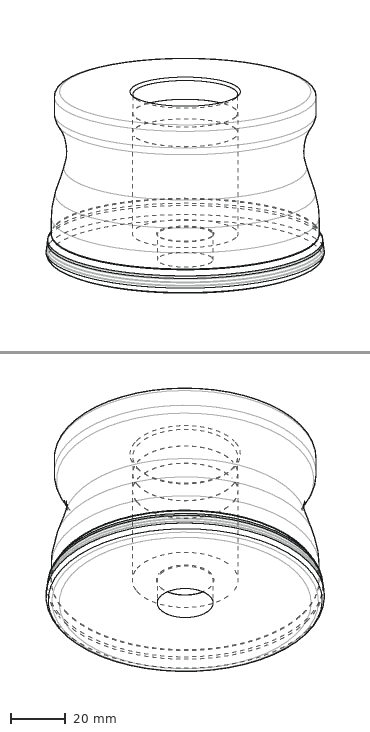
import cadquery as cq
import math

base_radius = 50.8
total_height = 63.5
base_height = 9.9

collar_radius = 47.8
collar_edge_fillet = 1.9
collar_blend_radius = 5.0
waist_radius = 43.3
waist_height = 40.9
waist_curve_radius = 20.3
flank_angle = math.radians(18)
skirt_radius = 48.9
skirt_top = 16.0

bore_radius = 19.1
bore_chamfer = 1.0
bore_step_depth = 0.1
bore_step_heights = [55.4, 48.0]

hole_radius = 10.2
hole_chamfer = 0.3
land_height = 0.3
flare_bottom_z = 7.6
flare_bottom_radius = 50.2
cove_bottoms = [6.7, 5.4, 4.2, 3.1]
rim_corner_radius = 2.5
rim_corner_angle = math.radians(49)
foot_bevel_radius = 48.6
foot_bevel_z = 0.6
foot_radius = 45.9


def revolve(profile):
    """Turn a closed profile in the XZ plane into a solid about the Z axis."""
    return profile.close().revolve(360, (0, 0, 0), (0, 1, 0))


def arc_point(center, radius, angle):
    """Point on a circle, with the angle measured up from the outward radial direction."""
    return (center[0] + radius * math.cos(angle), center[1] + radius * math.sin(angle))


def make_housing():
    """Turned upper body with its collar, waist, flared flank and stepped bore."""
    waist_center = (waist_radius + waist_curve_radius, waist_height)
    blend_center_radius = collar_radius - collar_blend_radius
    center_distance = waist_curve_radius + collar_blend_radius
    center_offset = waist_center[0] - blend_center_radius
    collar_bottom = waist_height + math.sqrt(center_distance**2 - center_offset**2)
    blend_center = (blend_center_radius, collar_bottom)
    waist_end = arc_point(waist_center, waist_curve_radius, math.pi + flank_angle)
    waist_mid = (waist_radius, waist_height)
    blend_angle = math.atan2(blend_center[1] - waist_center[1], blend_center[0] - waist_center[0])
    waist_start = arc_point(waist_center, waist_curve_radius, blend_angle)
    blend_mid = arc_point(blend_center, collar_blend_radius, (blend_angle - math.pi) / 2)

    corner_height = waist_end[1] - (skirt_radius - waist_end[0]) / math.tan(flank_angle)
    tangent_length = corner_height - skirt_top
    skirt_curve_radius = tangent_length / math.tan(flank_angle / 2)
    skirt_center = (skirt_radius - skirt_curve_radius, skirt_top)
    flank_end = arc_point(skirt_center, skirt_curve_radius, flank_angle)
    skirt_mid = arc_point(skirt_center, skirt_curve_radius, flank_angle / 2)

    fillet_center = (collar_radius - collar_edge_fillet, total_height - collar_edge_fillet)
    profile = (
        cq.Workplane("XZ")
        .moveTo(bore_radius + bore_chamfer, total_height)
        .lineTo(fillet_center[0], total_height)
        .threePointArc(
            arc_point(fillet_center, collar_edge_fillet, math.pi / 4),
            (collar_radius, fillet_center[1]),
        )
        .lineTo(collar_radius, collar_bottom)
        .threePointArc(blend_mid, waist_start)
        .threePointArc(waist_mid, waist_end)
        .lineTo(*flank_end)
        .threePointArc(skirt_mid, (skirt_radius, skirt_top))
        .lineTo(skirt_radius, base_height)
    )
    step_radius = bore_radius + len(bore_step_heights) * bore_step_depth
    step_bottom = base_height
    for step_top in reversed(bore_step_heights):
        profile = profile.lineTo(step_radius, step_bottom).lineTo(step_radius, step_top)
        step_radius -= bore_step_depth
        step_bottom = step_top
    profile = profile.lineTo(bore_radius, step_bottom).lineTo(bore_radius, total_height - bore_chamfer)
    return revolve(profile)


def make_base():
    """Bottom disc whose rim flares out in coves and rounds under to the foot."""
    corner_center = (base_radius - rim_corner_radius, cove_bottoms[-1])
    corner_mid = arc_point(corner_center, rim_corner_radius, -rim_corner_angle / 2)
    corner_end = arc_point(corner_center, rim_corner_radius, -rim_corner_angle)

    profile = (
        cq.Workplane("XZ")
        .moveTo(hole_radius + hole_chamfer, base_height)
        .lineTo(skirt_radius, base_height)
        .lineTo(skirt_radius, base_height - land_height)
        .lineTo(flare_bottom_radius, flare_bottom_z)
    )
    cove_radius = flare_bottom_radius
    land_top = flare_bottom_z
    cove_growth = (base_radius - flare_bottom_radius) / len(cove_bottoms)
    for cove_bottom in cove_bottoms:
        profile = profile.lineTo(cove_radius, land_top - land_height)
        cove_radius += cove_growth
        profile = profile.tangentArcPoint((cove_radius, cove_bottom), relative=False)
        land_top = cove_bottom
    profile = (
        profile.threePointArc(corner_mid, corner_end)
        .lineTo(foot_bevel_radius, foot_bevel_z)
        .lineTo(foot_radius, 0)
        .lineTo(hole_radius, 0)
        .lineTo(hole_radius, base_height - hole_chamfer)
    )
    return revolve(profile)


housing = make_housing()
base = make_base()
result = cq.Compound.makeCompound([housing.val(), base.val()])